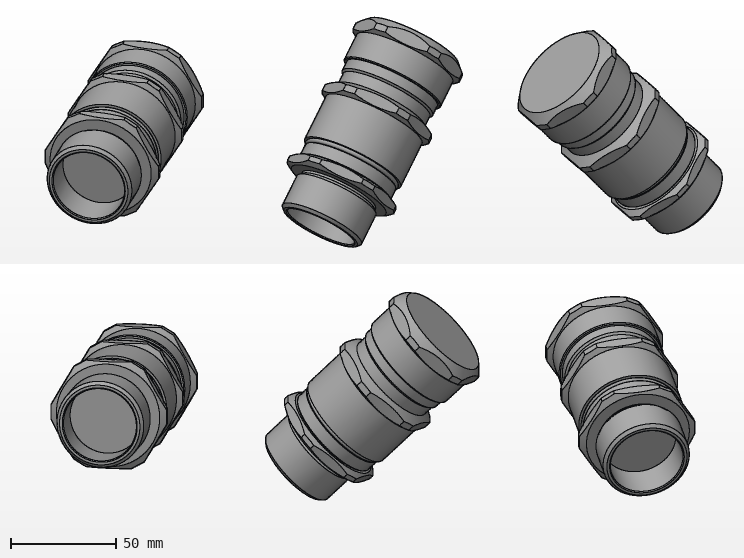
import cadquery as cq
import math

TOTAL_LENGTH = 100.8
ACROSS_FLATS = 52.0
ACROSS_CORNER_FLATS = 56.0
CORNER_RADIUS = ACROSS_FLATS / math.sqrt(3)
CONE_SLOPE = math.tan(math.radians(30))

THREAD_RADIUS = 41.9 / 2
THREAD_TIP_RADIUS = 38.9 / 2
THREAD_NECK_RADIUS = THREAD_TIP_RADIUS
THREAD_TOP = 17.2
BORE_RADIUS = 35.3 / 2
BORE_CHAMFER = 0.5
BORE_DEPTH = 16.6

BODY_RADIUS = 50.9 / 2
SLEEVE_RADIUS = 48.0 / 2
UPPER_NECK_RADIUS = 46.0 / 2
BODY_EDGE_CHAMFER = 0.5
UPPER_SLEEVE_CHAMFER = 1.0
LOWER_SLEEVE_CHAMFER = 0.5

SEAL_OUTER_RADIUS = 24.5
SEAL_SECTION_RADIUS = 1.2
SEAL_CENTRE = 34.0

BODY_BOTTOM = 35.0
LOWER_SLEEVE_TOP = 33.1
UPPER_NECK_TOP = 71.9
CAP_BOTTOM = 77.9

LOWER_HEX_BOTTOM = 20.0
LOWER_HEX_TOP = 26.0
LOWER_HEX_FACE_RADIUS = 25.0
MIDDLE_HEX_BOTTOM = 58.3
MIDDLE_HEX_TOP = 66.0
CAP_HEX_BOTTOM = 91.7
CAP_FACE_RADIUS = 23.8


def revolve_profile(points):
    """Revolve (radius, y) points, closed along the axis, about Y."""
    outline = [(0, points[0][1])] + points + [(0, points[-1][1])]
    return cq.Workplane("XY").polyline(outline).close().revolve(360, (0, 0, 0), (0, 1, 0))


def cylinder(radius, bottom, top):
    return revolve_profile([(radius, bottom), (radius, top)])


def hexagonal_prism(across_flats, bottom, top, first_corner):
    """Hexagonal prism along Y; first_corner is the angle in degrees of one corner from +X."""
    radius = across_flats / math.sqrt(3)
    angles = [math.radians(first_corner + 60 * i) for i in range(6)]
    corners = [(radius * math.cos(angle), radius * math.sin(angle)) for angle in angles]
    base = cq.Workplane("XZ", origin=(0, bottom, 0))
    return base.polyline(corners).close().extrude(bottom - top)


def hexagon(bottom, top, bottom_radius, top_radius, top_slope=CONE_SLOPE):
    """Hexagon with flats facing +Z and -Z, cut-off corners and a cone bevel at both ends."""
    corner_flats = hexagonal_prism(ACROSS_CORNER_FLATS, bottom, top, first_corner=30)
    prism = hexagonal_prism(ACROSS_FLATS, bottom, top, first_corner=0).intersect(corner_flats)
    envelope = revolve_profile([
        (bottom_radius, bottom),
        (CORNER_RADIUS, bottom + (CORNER_RADIUS - bottom_radius) * CONE_SLOPE),
        (CORNER_RADIUS, top - (CORNER_RADIUS - top_radius) * top_slope),
        (top_radius, top),
    ])
    return prism.intersect(envelope)


def threaded_end():
    return revolve_profile([
        (THREAD_TIP_RADIUS, 0),
        (THREAD_RADIUS, THREAD_RADIUS - THREAD_TIP_RADIUS),
        (THREAD_RADIUS, THREAD_TOP),
        (THREAD_NECK_RADIUS, THREAD_TOP + THREAD_RADIUS - THREAD_NECK_RADIUS),
        (THREAD_NECK_RADIUS, LOWER_HEX_BOTTOM),
    ])


def lower_sleeve():
    """Sleeve chamfered at both ends, with a core that carries the seal ring up to the body."""
    sleeve = cylinder(SLEEVE_RADIUS, LOWER_HEX_TOP, LOWER_SLEEVE_TOP)
    sleeve = sleeve.faces("<Y or >Y").edges().chamfer(LOWER_SLEEVE_CHAMFER)
    core = cylinder(SLEEVE_RADIUS - LOWER_SLEEVE_CHAMFER, LOWER_SLEEVE_TOP, BODY_BOTTOM)
    return sleeve.union(core)


def seal_ring():
    """Half-round section whose flat side is buried in the sleeve core."""
    inner_radius = SEAL_OUTER_RADIUS - SEAL_SECTION_RADIUS
    section = (
        cq.Workplane("XY")
        .moveTo(inner_radius, SEAL_CENTRE - SEAL_SECTION_RADIUS)
        .threePointArc(
            (SEAL_OUTER_RADIUS, SEAL_CENTRE),
            (inner_radius, SEAL_CENTRE + SEAL_SECTION_RADIUS),
        )
        .close()
    )
    return section.revolve(360, (0, 0, 0), (0, 1, 0))


def upper_sleeve():
    sleeve = cylinder(SLEEVE_RADIUS, UPPER_NECK_TOP, CAP_BOTTOM)
    return sleeve.faces("<Y").edges().chamfer(UPPER_SLEEVE_CHAMFER)


def cap_skirt():
    skirt = cylinder(BODY_RADIUS, CAP_BOTTOM, CAP_HEX_BOTTOM)
    return skirt.faces("<Y").edges().chamfer(BODY_EDGE_CHAMFER)


def bore():
    return revolve_profile([
        (BORE_RADIUS + BORE_CHAMFER, 0),
        (BORE_RADIUS, BORE_CHAMFER),
        (BORE_RADIUS, BORE_DEPTH),
    ])


sections = [
    hexagon(LOWER_HEX_BOTTOM, LOWER_HEX_TOP, LOWER_HEX_FACE_RADIUS, LOWER_HEX_FACE_RADIUS),
    lower_sleeve(),
    seal_ring(),
    cylinder(BODY_RADIUS, BODY_BOTTOM, MIDDLE_HEX_BOTTOM),
    hexagon(MIDDLE_HEX_BOTTOM, MIDDLE_HEX_TOP, BODY_RADIUS, UPPER_NECK_RADIUS),
    cylinder(UPPER_NECK_RADIUS, MIDDLE_HEX_TOP, UPPER_NECK_TOP),
    upper_sleeve(),
    cap_skirt(),
    hexagon(CAP_HEX_BOTTOM, TOTAL_LENGTH, BODY_RADIUS, CAP_FACE_RADIUS, top_slope=1.0),
]

result = threaded_end()
for section in sections:
    result = result.union(section)
result = result.cut(bore())